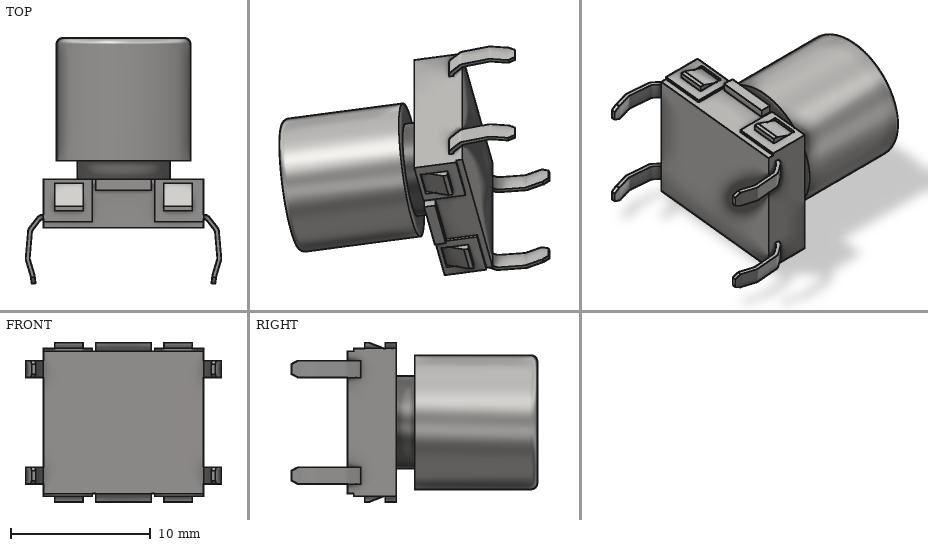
import cadquery as cq
import math


body_width = 11.44
body_depth = 3.5
body_height = 10.2
overall_height = 11.4

pad_width = 3.5
pad_back = 0.45
pad_rise = 0.19
pad_top = body_height / 2 + pad_rise

rib_width = 4.0
rib_depth = 0.8

latch_offset = 3.91
latch_width = 2.04
window_front = body_depth - 0.3
ramp_crest = body_depth - 1.95
window_back = body_depth - 2.27
window_sink = 0.23

stem_diameter = 6.66
stem_length = 1.3
cap_diameter = 9.62
cap_length = 8.8
cap_fillet = 0.5

lead_pitch = 7.62
lead_width = 1.22
lead_thickness = 0.3
lead_embed = 0.3
bend_radius = 0.5
tip_taper_length = 0.47
tip_taper_width = 0.25

lead_root = (body_width / 2 - lead_embed, 0.95)
lead_shoulder = (6.01, 0.95)
lead_knee = (6.82, -0.09)
lead_ankle = (7.005, -2.24)
lead_toe = (6.645, -3.44)
lead_tip = (6.57, -4.0)


def box_between(x_range, y_range, z_range):
    """Box spanning the given (low, high) pair on each axis."""
    size = [high - low for low, high in (x_range, y_range, z_range)]
    corner = (x_range[0], y_range[0], z_range[0])
    return cq.Workplane("XY").box(*size, centered=False).translate(corner)


def make_housing():
    housing = box_between(
        (-body_width / 2, body_width / 2),
        (0, body_depth),
        (-body_height / 2, body_height / 2),
    )
    rib = box_between(
        (-rib_width / 2, rib_width / 2),
        (body_depth - rib_depth, body_depth),
        (-overall_height / 2, overall_height / 2),
    )
    return housing.union(rib)


def make_pad():
    """Corner pad at +X, running through to the opposite Z side."""
    return box_between(
        (body_width / 2 - pad_width, body_width / 2),
        (pad_back, body_depth),
        (-pad_top, pad_top),
    )


def latch_prism(points):
    """Extrude a YZ outline across the width of the latch at +X."""
    start = latch_offset - latch_width / 2
    return cq.Workplane("YZ").workplane(offset=start).polyline(points).close().extrude(latch_width)


def make_latch_recess():
    """Wedge of space above the sunken part of the ramp on the +Z side."""
    rise_per_depth = (overall_height / 2 - pad_top + window_sink) / (window_front - ramp_crest)
    emergence = window_front - window_sink / rise_per_depth
    return latch_prism([
        (window_front, pad_top - window_sink),
        (window_front, pad_top),
        (emergence, pad_top),
    ])


def make_latch_ramp():
    """Ramp on the +Z side, sloping up away from the button."""
    floor = pad_top - window_sink
    return latch_prism([
        (window_front, floor),
        (ramp_crest, overall_height / 2),
        (window_back, overall_height / 2),
        (window_back, floor),
    ])


def make_button():
    stem = cq.Workplane("XZ", origin=(0, body_depth, 0)).circle(stem_diameter / 2).extrude(-stem_length)
    cap_start = body_depth + stem_length
    cap = cq.Workplane("XZ", origin=(0, cap_start, 0)).circle(cap_diameter / 2).extrude(-cap_length)
    return stem.union(cap.faces(">Y").edges().fillet(cap_fillet))


def offset_inward(points, distance):
    """Parallel copy of an open polyline, moved to the right of its direction of travel."""
    angles = [math.atan2(b[1] - a[1], b[0] - a[0]) for a, b in zip(points, points[1:])]
    arriving = angles[:1] + angles
    leaving = angles + angles[-1:]
    shifted = []
    for (x, y), angle_in, angle_out in zip(points, arriving, leaving):
        middle = (angle_in + angle_out) / 2
        reach = distance / math.cos((angle_out - angle_in) / 2)
        shifted.append((x + reach * math.sin(middle), y - reach * math.cos(middle)))
    return shifted


def make_lead():
    """Bent flat terminal at +X, centred on z = 0, with a tapered tip."""
    outer = [lead_root, lead_shoulder, lead_knee, lead_ankle, lead_toe, lead_tip]
    inner = offset_inward(outer, lead_thickness)
    outline = outer + inner[::-1]
    lead = cq.Workplane("XY").polyline(outline).close().extrude(lead_width / 2, both=True)
    lead = lead.faces("<Y").edges("not(|Z)").chamfer(tip_taper_length, tip_taper_width)
    for outer_corner, inner_corner in list(zip(outer, inner))[1:-1]:
        lead = lead.edges(cq.NearestToPointSelector((*outer_corner, 0))).fillet(bend_radius)
        lead = lead.edges(cq.NearestToPointSelector((*inner_corner, 0))).fillet(bend_radius)
    return lead


def both_x_sides(shape):
    return shape.union(shape.mirror("YZ"))


def both_z_sides(shape):
    return shape.union(shape.mirror("XY"))


pads = both_x_sides(make_pad())
recesses = both_z_sides(both_x_sides(make_latch_recess()))
ramps = both_z_sides(both_x_sides(make_latch_ramp()))
leads = both_z_sides(both_x_sides(make_lead().translate((0, 0, lead_pitch / 2))))

result = make_housing().union(pads).union(ramps).cut(recesses).union(make_button()).union(leads)